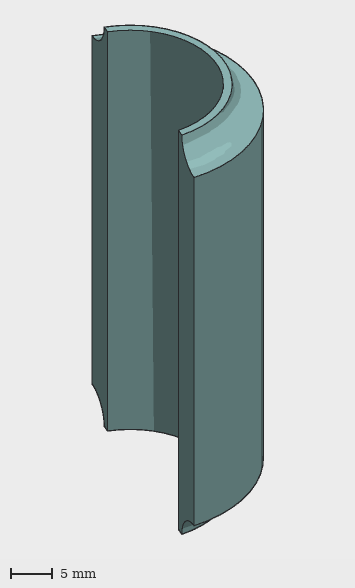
import cadquery as cq

length = 58.4
outer_radius = 15.9
bore_radius = 11.1
cove_radius = 3.75
split_offset = 1.65

half_length = length / 2
rim_radius = outer_radius - cove_radius
shoulder_height = half_length - cove_radius
cove_mid_offset = cove_radius * 0.5**0.5


def make_sleeve():
    """Revolve the wall section, whose coves are centred on its outer corners."""
    cove_mid_radius = outer_radius - cove_mid_offset
    cove_mid_height = half_length - cove_mid_offset
    return (
        cq.Workplane("XZ")
        .moveTo(bore_radius, -half_length)
        .lineTo(rim_radius, -half_length)
        .threePointArc((cove_mid_radius, -cove_mid_height), (outer_radius, -shoulder_height))
        .lineTo(outer_radius, shoulder_height)
        .threePointArc((cove_mid_radius, cove_mid_height), (rim_radius, half_length))
        .lineTo(bore_radius, half_length)
        .close()
        .revolve(360, (0, 0, 0), (0, 1, 0))
    )


def make_kept_side():
    """Block covering the part of the sleeve behind the split face."""
    return (
        cq.Workplane("XY")
        .box(2 * outer_radius, outer_radius, length, centered=(True, False, True))
        .translate((0, split_offset, 0))
    )


result = make_sleeve().intersect(make_kept_side())